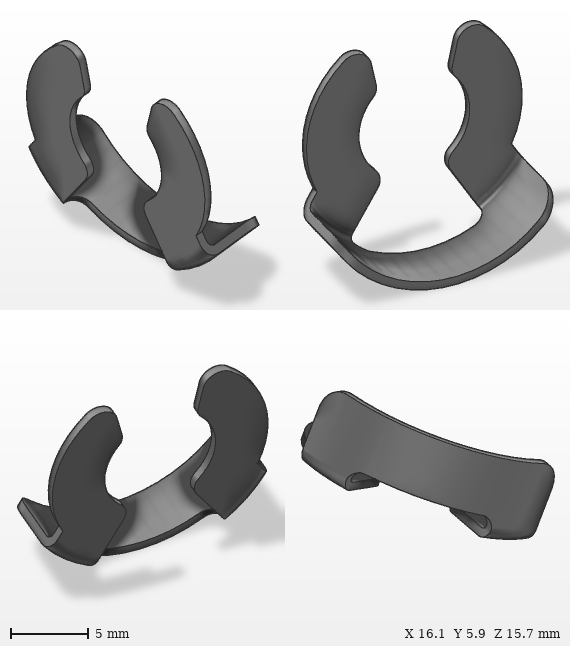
import cadquery as cq
import math

thickness = 0.6
depth = 5.9
band_radius = 9.47
arm_radius = 7.8
bore_radius = 4.0
bend_inner_radius = 0.5
leg_angle = 58
leg_width = 4.16
tip_edge_angle = 12
tip_edge_start = (-2.78, 3.7)
tip_radius = 1.2
lip_radius = 1.0
heel_radius = 1.1
slot_depth = 1.8
slot_corner_radius = 1.15
band_corner_radius = 2.0

bend_outer_radius = bend_inner_radius + thickness
bend_start_radius = band_radius - bend_outer_radius
reach = 2 * band_radius

leg_direction = cq.Vector(-math.cos(math.radians(leg_angle)), -math.sin(math.radians(leg_angle)))
leg_normal = cq.Vector(leg_direction.y, -leg_direction.x)


def prism(outline, length):
    """Extrude a closed XZ outline from the front face toward +Y."""
    return outline.close().extrude(-length)


def leg_edge_point(radius):
    """Point on the outer edge line of the left leg at a given radius."""
    along = math.sqrt(radius**2 - leg_width**2)
    return (leg_normal * leg_width + leg_direction * along).toTuple()[:2]


def tip_edge_point(radius):
    """Upper point where the inner tip edge line meets a circle about the axis."""
    x, z = tip_edge_start
    dx = -math.sin(math.radians(tip_edge_angle))
    dz = math.cos(math.radians(tip_edge_angle))
    middle = x * dx + z * dz
    along = -middle + math.sqrt(middle**2 - (x**2 + z**2 - radius**2))
    return (x + along * dx, z + along * dz)


def polar(radius, angle):
    return (radius * math.cos(angle), radius * math.sin(angle))


def arc_middle(start, end):
    """Point halfway along the left-hand arc between two points of one circle."""
    radius = math.hypot(*start)
    angles = [math.atan2(z, x) % (2 * math.pi) for x, z in (start, end)]
    return polar(radius, sum(angles) / 2)


def round_corner(body, corner, radius):
    """Fillet the edge through the plate thickness at one outline corner."""
    x, z = corner
    margin = 0.02
    near = cq.selectors.BoxSelector(
        (x - margin, -margin, z - margin), (x + margin, thickness + margin, z + margin)
    )
    return body.edges("|Y").edges(near).fillet(radius)


def make_left_plate():
    """Flat arm and leg, up to the start of the bend."""
    tip = tip_edge_point(arm_radius)
    lip = tip_edge_point(bore_radius)
    notch = leg_edge_point(arm_radius)
    leg_outer = leg_edge_point(bend_start_radius)
    leg_inner = (leg_direction * bend_start_radius).toTuple()[:2]
    heel = (leg_direction * bore_radius).toTuple()[:2]

    outline = (
        cq.Workplane("XZ")
        .moveTo(*tip)
        .threePointArc(arc_middle(tip, notch), notch)
        .lineTo(*leg_outer)
        .threePointArc(arc_middle(leg_outer, leg_inner), leg_inner)
        .lineTo(*heel)
        .threePointArc(arc_middle(heel, lip), lip)
    )
    plate = prism(outline, thickness)
    for corner, radius in ((tip, tip_radius), (lip, lip_radius), (heel, heel_radius)):
        plate = round_corner(plate, corner, radius)
    return plate


def make_bent_ring():
    """Full ring of band and bend, revolved about Y."""
    diagonal = math.sqrt(0.5)
    bend_middle = (
        bend_start_radius + bend_outer_radius * diagonal,
        bend_outer_radius * (1 - diagonal),
    )
    inner_bend_middle = (
        bend_start_radius + bend_inner_radius * diagonal,
        bend_outer_radius - bend_inner_radius * diagonal,
    )
    return (
        cq.Workplane("XY")
        .moveTo(bend_start_radius, 0)
        .threePointArc(bend_middle, (band_radius, bend_outer_radius))
        .lineTo(band_radius, depth)
        .lineTo(band_radius - thickness, depth)
        .lineTo(band_radius - thickness, bend_outer_radius)
        .threePointArc(inner_bend_middle, (bend_start_radius, thickness))
        .close()
        .revolve(360, (0, 0, 0), (0, 1, 0))
    )


def make_band_limit():
    """Space between the leg outer edges, with rounded rear corners."""
    top = leg_edge_point(arm_radius)
    bottom = leg_edge_point(reach)
    points = [top, bottom, (-bottom[0], bottom[1]), (-top[0], top[1])]
    block = prism(cq.Workplane("XZ").polyline(points), depth)
    return block.faces(">Y").edges("not |X").fillet(band_corner_radius)


def make_slot():
    """Wedge between the legs that opens the front of the band."""
    x, z = (leg_direction * reach).toTuple()[:2]
    wedge = prism(cq.Workplane("XZ").polyline([(0, 0), (x, z), (-x, z)]), slot_depth)
    return wedge.faces(">Y").edges("not |X").fillet(slot_corner_radius)


band = make_bent_ring().intersect(make_band_limit()).cut(make_slot())
left_plate = make_left_plate()
right_plate = left_plate.mirror("YZ")
result = band.union(left_plate).union(right_plate)